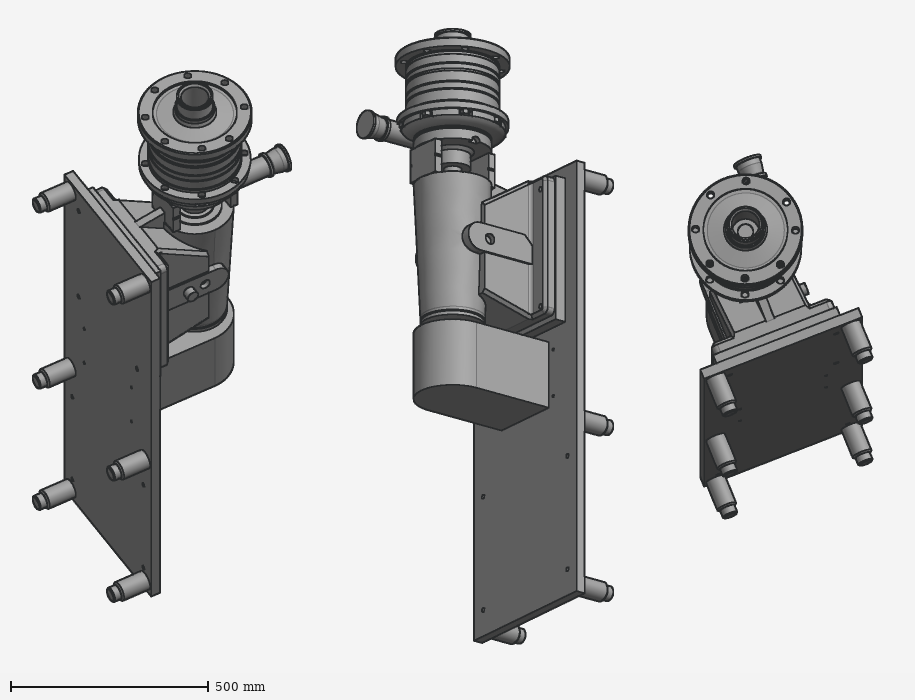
import cadquery as cq
import math


plate_width = 432.0
plate_length = 1172.0
plate_thickness = 26.0
plate_front_y = -230.0
plate_back_y = plate_front_y - plate_thickness
riser_width = 337.0
riser_bottom_z = 748.0
riser_top_z = 1139.0
riser_front_y = -200.0
pump_bolt_x = 145.0
pump_bolt_heights = (783.0, 1102.0)
pump_bolt_radius = 6.0
guard_bolt_x = 118.0
guard_bolt_heights = (562.0, 688.0)
guard_bolt_radius = 3.0
motor_bolt_x = 177.0
motor_bolt_heights = (72.0, 380.0)
motor_bolt_radius = 5.3

foot_x = 185.0
foot_heights = (32.0, 484.0, 1140.0)
foot_radius = 26.0
foot_length = 81.0
foot_tip_radius = 20.0
foot_end_y = -359.0
foot_chamfer = 5.0
tip_chamfer = 3.0

guard_bottom_z = 535.0
guard_top_z = 715.0
guard_radius = 99.0

bearing_bottom_z = 734.0
cone_bottom_z = 757.0
bearing_top_z = 1117.0
shaft_collar_top_z = 1143.0
gland_bottom_z = 1161.0
gland_taper_z = 1198.0
frame_bottom_z = 1207.0
frame_top_z = 1242.0
volute_edge_z = 1258.0
lower_flange_bottom_z = 1275.0
barrel_bottom_z = 1293.0
upper_flange_bottom_z = 1440.0
upper_flange_top_z = 1465.0
inlet_top_z = 1526.0
shaft_radius = 23.0
coupling_end_radius = 37.0
bearing_end_radius = 82.0
frame_radius = 99.0
gland_radius = 46.0
barrel_radius = 119.0
volute_radius = 135.0
volute_curve_radius = 46.0
lower_flange_radius = 142.0
upper_flange_radius = 145.0
upper_flange_chamfer = 3.0
groove_depth = 2.0
frame_groove = (1238.0, 5.0)
bearing_end_groove = (746.0, 3.0)
barrel_grooves = ((1303.0, 3.0), (1335.0, 3.0), (1355.0, 3.0), (1387.0, 6.0), (1405.0, 3.0), (1433.0, 8.0))
bolt_count = 8
bolt_pitch = 360 / bolt_count
first_bolt_angle = bolt_pitch / 2
shifted_bolt_angle = 13.0
bolt_circle_radius = 127.0
bolt_hole_radius = 9.0
spot_face_radius = 18.0
nut_across_corners = 25.0
nut_height = 12.0
face_recess_outer = 107.0
face_recess_inner = 98.0
face_recess_depth = 6.0
face_cone_inner = 55.0
inlet_base_radius = 50.0
inlet_root_z = 1476.0
inlet_base_z = 1487.0
inlet_neck_radius = 41.0
inlet_rim_radius = 46.0
inlet_rim_height = 6.0
inlet_bore_radius = 35.0
inlet_bore_depth = 92.0
inlet_bore_chamfer = 6.0
impeller_nut_radius = 20.0
impeller_nut_height = 9.0
outlet_x = 89.0
outlet_z = 1262.0
outlet_end_y = 210.0
outlet_pipe_radius = 27.0
outlet_collar_radius = 32.0
outlet_collar_bottom_y = 154.0
outlet_collar_top_y = 162.0
outlet_neck_y = 166.0
outlet_head_radius = 32.0
outlet_head_y = 191.0
outlet_rim_radius = 37.0
outlet_rim_height = 6.0
arm_width = 105.0
arm_inner_y = 75.0
arm_outer_y = 95.0
arm_groove_z = 1165.0
arm_groove_width = 5.0
arm_groove_depth = 3.0
notch_radius = 12.0
notch_depth = 15.0
pedestal_width = 212.0
pedestal_front_y = -21.0
pedestal_base_y = -166.0
pedestal_shoulder_z = 1047.0
pedestal_heel_z = 800.0
pedestal_chamfer = 9.0
pump_foot_width = 328.0
pump_foot_bottom_z = 763.0
pump_foot_top_z = riser_top_z
pump_foot_front_y = -170.0
pump_foot_corner_radius = 15.0
pump_foot_chamfer = 9.0
root_fillet_size = 9.0
gusset_width = 23.0
gusset_bottom_z = 1068.0
gusset_top_z = 1155.0
lug_bottom_z = 908.0
lug_top_z = 983.0
lug_middle_z = (lug_top_z + lug_bottom_z) / 2
lug_tip_y = 34.0
lug_face_x = 111.0
lug_thickness = 46.0
lug_corner_chamfer = 25.0
lug_hole_y = -35.0
lug_hole_radius = 14.0
lug_hole_depth = 15.0
oil_fitting_end_x = 133.0
oil_fitting_y = -84.0
oil_fitting_radius = 15.0


def cylinder_y(radius, start_y, end_y, x, z):
    """Cylinder along Y between two Y levels."""
    plane = cq.Workplane("XZ", origin=(x, start_y, z))
    return plane.circle(radius).extrude(start_y - end_y)


def block(x_range, y_range, z_range):
    """Box between given limits on each axis."""
    sizes = [high - low for low, high in (x_range, y_range, z_range)]
    corner = (x_range[0], y_range[0], z_range[0])
    return cq.Workplane("XY", origin=corner).box(*sizes, centered=False)


def bolt_holes(half_spacing, heights, radius):
    """Four holes along Y through everything between the back of the plate and the top of the pump foot."""
    holes = cq.Workplane("XY")
    for x in (-half_spacing, half_spacing):
        for z in heights:
            holes = holes.add(cylinder_y(radius, plate_back_y, pump_foot_front_y, x, z))
    return holes.combine()


def make_base():
    """Plate with the riser under the pump, drilled for the pump, the guard and a motor."""
    half_plate = plate_width / 2
    half_riser = riser_width / 2
    base = block((-half_plate, half_plate), (plate_back_y, plate_front_y), (0, plate_length))
    base = base.union(
        block((-half_riser, half_riser), (plate_front_y, riser_front_y), (riser_bottom_z, riser_top_z))
    )
    base = base.cut(bolt_holes(pump_bolt_x, pump_bolt_heights, pump_bolt_radius))
    base = base.cut(bolt_holes(guard_bolt_x, guard_bolt_heights, guard_bolt_radius))
    return base.cut(bolt_holes(motor_bolt_x, motor_bolt_heights, motor_bolt_radius))


def make_foot(x, z):
    """Round post with a narrower tip, standing out from the back of the plate."""
    shoulder_y = plate_back_y - foot_length
    foot = cylinder_y(foot_radius, plate_back_y, shoulder_y, x, z).faces("<Y").chamfer(foot_chamfer)
    tip = cylinder_y(foot_tip_radius, shoulder_y, foot_end_y, x, z).faces("<Y").chamfer(tip_chamfer)
    return foot.union(tip)


def make_guard():
    """Solid hood with a round front and flat sides, standing on the plate."""
    outline = (
        cq.Workplane("XY", origin=(0, 0, guard_bottom_z))
        .moveTo(-guard_radius, plate_front_y)
        .lineTo(-guard_radius, 0)
        .threePointArc((0, guard_radius), (guard_radius, 0))
        .lineTo(guard_radius, plate_front_y)
        .close()
    )
    return outline.extrude(guard_top_z - guard_bottom_z)


def revolve_z(points):
    """Turn (radius, z) points about the shaft axis."""
    return cq.Workplane("XZ").polyline(points).close().revolve(360, (0, 0), (0, 1))


def bearing_and_shaft():
    """Turned shaft end, tapered bearing housing, cover, shaft and gland, from bottom to top."""
    bevel_radius = 56.0
    bevel_z = 730.0
    cover_steps = ((69.0, 1122.0), (49.0, 1126.0))
    points = [(0, guard_top_z), (coupling_end_radius, guard_top_z), (coupling_end_radius, bevel_z)]
    points += [(bevel_radius, bevel_z), (bearing_end_radius, bearing_bottom_z)]
    points += [(bearing_end_radius, cone_bottom_z), (frame_radius, bearing_top_z)]
    level = bearing_top_z
    for radius, top in cover_steps:
        points += [(radius, level), (radius, top)]
        level = top
    points += [(coupling_end_radius, level), (coupling_end_radius, shaft_collar_top_z)]
    points += [(shaft_radius, shaft_collar_top_z), (shaft_radius, gland_bottom_z)]
    gland_flare = gland_radius + frame_bottom_z - gland_taper_z
    points += [(gland_radius, gland_bottom_z), (gland_radius, gland_taper_z), (gland_flare, frame_bottom_z)]
    points += [(0, frame_bottom_z)]
    return revolve_z(points).cut(ring_groove(bearing_end_radius, *bearing_end_groove))


def casing():
    """Turned frame ring, volute, flanges, barrel and inlet nozzle."""
    recess_z = upper_flange_top_z - face_recess_depth
    rim_z = inlet_top_z - inlet_rim_height
    outline = (
        cq.Workplane("XZ")
        .moveTo(0, frame_bottom_z)
        .lineTo(frame_radius, frame_bottom_z)
        .lineTo(frame_radius, frame_top_z)
        .radiusArc((volute_radius, volute_edge_z), -volute_curve_radius)
        .lineTo(volute_radius, lower_flange_bottom_z)
        .lineTo(lower_flange_radius, lower_flange_bottom_z)
        .lineTo(lower_flange_radius, barrel_bottom_z)
        .lineTo(barrel_radius, barrel_bottom_z)
        .lineTo(barrel_radius, upper_flange_bottom_z)
        .lineTo(upper_flange_radius, upper_flange_bottom_z)
        .lineTo(upper_flange_radius, upper_flange_top_z - upper_flange_chamfer)
        .lineTo(upper_flange_radius - upper_flange_chamfer, upper_flange_top_z)
        .lineTo(face_recess_outer, upper_flange_top_z)
        .lineTo(face_recess_outer, recess_z)
        .lineTo(face_recess_inner, recess_z)
        .lineTo(face_cone_inner, upper_flange_top_z)
        .lineTo(inlet_base_radius, inlet_root_z)
        .lineTo(inlet_base_radius, inlet_base_z)
        .lineTo(inlet_rim_radius, inlet_base_z)
        .lineTo(inlet_neck_radius, rim_z)
        .lineTo(inlet_rim_radius, rim_z)
        .lineTo(inlet_rim_radius, inlet_top_z)
        .lineTo(0, inlet_top_z)
        .close()
    )
    return outline.revolve(360, (0, 0), (0, 1))


def ring_groove(radius, middle_z, width):
    """Shallow ring to cut from a cylinder of the given radius."""
    plane = cq.Workplane("XY", origin=(0, 0, middle_z - width / 2))
    return plane.circle(radius).circle(radius - groove_depth).extrude(width)


def inlet_bore():
    """Blind bore with a chamfered mouth, leaving the impeller nut at its floor."""
    floor_z = inlet_top_z - inlet_bore_depth
    nut_top_z = floor_z + impeller_nut_height
    mouth_radius = inlet_bore_radius + inlet_bore_chamfer
    points = [(0, nut_top_z), (impeller_nut_radius, nut_top_z), (impeller_nut_radius, floor_z)]
    points += [(inlet_bore_radius, floor_z), (inlet_bore_radius, inlet_top_z - inlet_bore_chamfer)]
    points += [(mouth_radius, inlet_top_z), (0, inlet_top_z)]
    return revolve_z(points)


def on_bolt_circle(bottom_z, first_angle):
    """Workplane with a point at every flange bolt; the first may sit off the even spacing."""
    others = [first_bolt_angle + number * bolt_pitch for number in range(1, bolt_count)]
    angles = [math.radians(angle) for angle in (first_angle, *others)]
    directions = [(math.cos(angle), math.sin(angle)) for angle in angles]
    points = [(bolt_circle_radius * x, bolt_circle_radius * y) for x, y in directions]
    return cq.Workplane("XY", origin=(0, 0, bottom_z)).pushPoints(points)


def outlet():
    """Nozzle with a collar, a flared head and an end rim, turned about an axis along Y."""
    rim_y = outlet_end_y - outlet_rim_height
    points = [(0, 0), (outlet_pipe_radius, 0), (outlet_pipe_radius, outlet_collar_bottom_y)]
    points += [(outlet_collar_radius, outlet_collar_bottom_y), (outlet_collar_radius, outlet_collar_top_y)]
    points += [(outlet_pipe_radius, outlet_collar_top_y), (outlet_pipe_radius, outlet_neck_y)]
    points += [(outlet_head_radius, outlet_head_y), (outlet_head_radius, rim_y)]
    points += [(outlet_rim_radius, rim_y), (outlet_rim_radius, outlet_end_y), (0, outlet_end_y)]
    nozzle = cq.Workplane("XY").polyline(points).close().revolve(360, (0, 0), (0, 1))
    return nozzle.translate((outlet_x, 0, outlet_z))


def yoke_arm(side):
    """Flat bar with grooved edges; side is +1 or -1 for its place along Y."""
    half = arm_width / 2
    y_range = sorted((side * arm_inner_y, side * arm_outer_y))
    arm = block((-half, half), y_range, (bearing_top_z, frame_bottom_z))
    groove_low = arm_groove_z - arm_groove_width / 2
    groove_range = (groove_low, groove_low + arm_groove_width)
    for x_range in ((-half, arm_groove_depth - half), (half - arm_groove_depth, half)):
        arm = arm.cut(block(x_range, y_range, groove_range))
    return arm


def pedestal():
    """Wedge-shaped pedestal with chamfered sloping edges, its root set into the foot."""
    root_y = pump_foot_front_y - pump_foot_chamfer
    points = [
        (root_y, pump_foot_bottom_z),
        (pedestal_base_y, pump_foot_bottom_z),
        (pedestal_front_y, pedestal_heel_z),
        (pedestal_front_y, pedestal_shoulder_z),
        (pedestal_base_y, pump_foot_top_z),
        (root_y, pump_foot_top_z),
    ]
    wedge = cq.Workplane("YZ").polyline(points).close().extrude(pedestal_width / 2, both=True)
    middle_y = (pedestal_front_y + pedestal_base_y) / 2
    middle_zs = ((pedestal_shoulder_z + pump_foot_top_z) / 2, (pedestal_heel_z + pump_foot_bottom_z) / 2)
    for x in (-pedestal_width / 2, pedestal_width / 2):
        for z in middle_zs:
            sloping_edge = cq.selectors.NearestToPointSelector((x, middle_y, z))
            wedge = wedge.edges(sloping_edge).chamfer(pedestal_chamfer)
    return wedge


def pump_foot():
    """Flat foot with rounded corners, lying on the riser."""
    half = pump_foot_width / 2
    z_range = (pump_foot_bottom_z, pump_foot_top_z)
    slab = block((-half, half), (riser_front_y, pump_foot_front_y), z_range)
    slab = slab.edges("|Y").fillet(pump_foot_corner_radius)
    return slab.faces(">Y").edges().chamfer(pump_foot_chamfer)


def root_strip(side):
    """Concave fillet between a pedestal side and the foot; side is +1 or -1 along X."""
    x = side * pedestal_width / 2
    reach = x + side * root_fillet_size
    top_y = pump_foot_front_y + root_fillet_size
    bulge = root_fillet_size * (1 - math.sqrt(0.5))
    return (
        cq.Workplane("XY", origin=(0, 0, pump_foot_bottom_z + pump_foot_chamfer))
        .moveTo(x, pump_foot_front_y)
        .lineTo(reach, pump_foot_front_y)
        .threePointArc((x + side * bulge, pump_foot_front_y + bulge), (x, top_y))
        .close()
        .extrude(pump_foot_top_z - pump_foot_bottom_z - 2 * pump_foot_chamfer)
    )


def gusset():
    """Rib from the lower yoke arm down to the foot."""
    points = [
        (-arm_inner_y, gusset_bottom_z),
        (-arm_inner_y, gusset_top_z),
        (pump_foot_front_y, pump_foot_top_z),
        (pump_foot_front_y, gusset_bottom_z),
    ]
    return cq.Workplane("YZ").polyline(points).close().extrude(gusset_width / 2, both=True)


def side_lug(side):
    """Round-ended bar with a blind hole, on one side of the pedestal; side is +1 or -1 along X."""
    radius = (lug_top_z - lug_bottom_z) / 2
    lug = (
        cq.Workplane("YZ", origin=(side * lug_face_x, 0, 0))
        .moveTo(pump_foot_front_y, lug_bottom_z)
        .lineTo(lug_tip_y - radius, lug_bottom_z)
        .threePointArc((lug_tip_y, lug_middle_z), (lug_tip_y - radius, lug_top_z))
        .lineTo(pump_foot_front_y + lug_corner_chamfer, lug_top_z)
        .lineTo(pump_foot_front_y, lug_top_z - lug_corner_chamfer)
        .close()
        .extrude(-side * lug_thickness)
    )
    hole = (
        cq.Workplane("YZ", origin=(side * lug_face_x, lug_hole_y, lug_middle_z))
        .circle(lug_hole_radius)
        .extrude(-side * lug_hole_depth)
    )
    return lug, hole


def oil_fitting():
    """Round boss standing out of the +X lug."""
    plane = cq.Workplane("YZ", origin=(lug_face_x, oil_fitting_y, lug_middle_z))
    return plane.circle(oil_fitting_radius).extrude(oil_fitting_end_x - lug_face_x)


def make_pump():
    """The whole pump as one solid, from the inlet down to the foot and shaft end."""
    pump = casing().cut(inlet_bore())
    for middle_z, width in barrel_grooves:
        pump = pump.cut(ring_groove(barrel_radius, middle_z, width))
    pump = pump.cut(ring_groove(frame_radius, *frame_groove))

    upper_points = on_bolt_circle(upper_flange_bottom_z, shifted_bolt_angle)
    pump = pump.cut(upper_points.circle(bolt_hole_radius).extrude(upper_flange_top_z - upper_flange_bottom_z))
    lower_points = on_bolt_circle(lower_flange_bottom_z, first_bolt_angle)
    pump = pump.cut(lower_points.circle(bolt_hole_radius).extrude(barrel_bottom_z - lower_flange_bottom_z))
    pump = pump.cut(lower_points.circle(spot_face_radius).extrude(volute_edge_z - lower_flange_bottom_z))
    pump = pump.union(lower_points.polygon(6, nut_across_corners).extrude(-nut_height))

    for piece in (outlet(), bearing_and_shaft(), pedestal(), pump_foot(), gusset(), oil_fitting()):
        pump = pump.union(piece)
    lug_holes = []
    for side in (-1, 1):
        lug, hole = side_lug(side)
        lug_holes.append(hole)
        pump = pump.union(yoke_arm(side)).union(root_strip(side)).union(lug)
    for hole in lug_holes:
        pump = pump.cut(hole)
    pump = pump.cut(bolt_holes(pump_bolt_x, pump_bolt_heights, pump_bolt_radius))

    notch = (
        cq.Workplane("YZ", origin=(-frame_radius, 0, frame_bottom_z))
        .circle(notch_radius)
        .extrude(notch_depth)
    )
    return pump.cut(notch)


base = make_base()
pump = make_pump()
guard = make_guard()
feet = [make_foot(x, z) for x in (-foot_x, foot_x) for z in foot_heights]

result = cq.Compound.makeCompound([base.val(), pump.val(), guard.val(), *[foot.val() for foot in feet]])